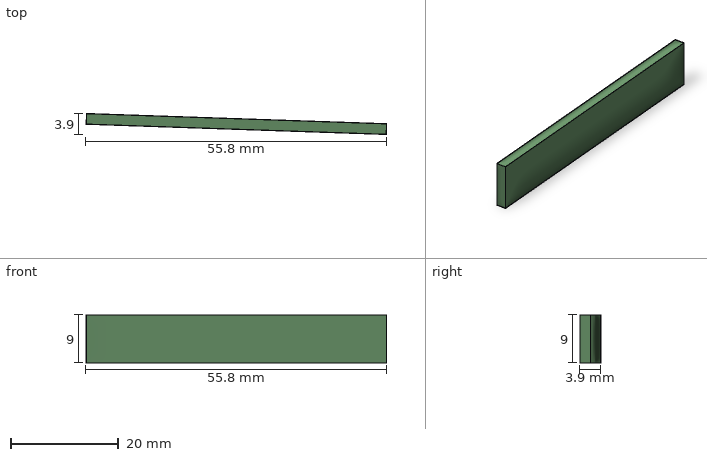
import cadquery as cq
import math

overall_length = 55.8
overall_depth = 3.9
height = 9.0
thickness = 2.0

tilt = math.asin((overall_depth - thickness) / overall_length)
length = (overall_length - thickness * math.sin(tilt)) / math.cos(tilt)

plate = cq.Workplane("XY").box(length, thickness, height)
result = plate.rotate((0, 0, 0), (0, 0, 1), -math.degrees(tilt))